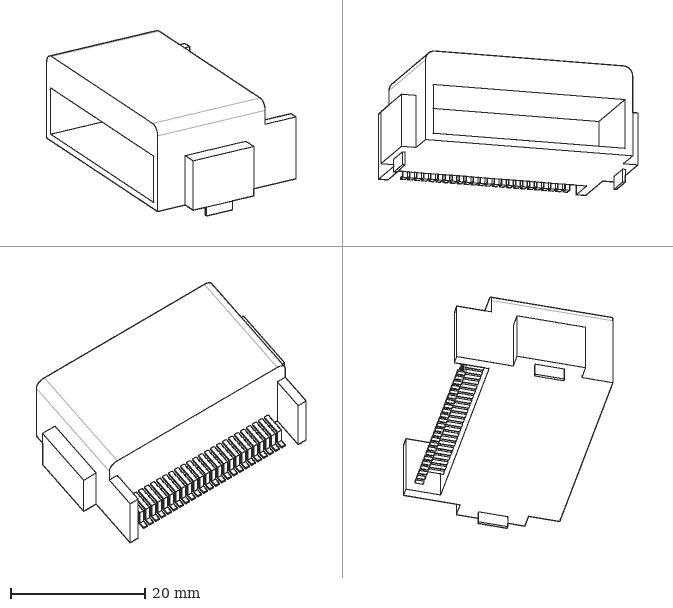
import cadquery as cq

housing_width = 32.32
housing_depth = 18.7
housing_height = 13.8
top_edge_radius = 1.48

side_wall = 1.2
floor_thickness = 1.07
opening_height = 7.53
opening_depth = 13.3

overall_width = 36.9
ear_front = 4.8
ear_depth = 10.55
ear_height = 8.05
tab_inset = 1.07
tab_thickness = 0.4
tab_front = 7.8
tab_depth = 4.5
tab_length = 2.0

guard_thickness = top_edge_radius
guard_length = 5.35
guard_height = 10.07

contact_count = 24
contact_row_span = 25.3
contact_width = 0.7
contact_thickness = 0.3
contact_setback = 0.95
contact_foot = 0.95
contact_shoulder = 2.95


def block(x_min, x_max, y_min, y_max, z_min, z_max):
    """Axis-aligned block between the given limits."""
    size = (x_max - x_min, y_max - y_min, z_max - z_min)
    return cq.Workplane("XY").box(*size, centered=False).translate((x_min, y_min, z_min))


def make_housing():
    half_width = housing_width / 2
    half_opening = half_width - side_wall
    body = block(-half_width, half_width, 0, housing_depth, 0, housing_height)
    body = body.edges("|Y and >Z").fillet(top_edge_radius)
    opening_top = floor_thickness + opening_height
    opening = block(-half_opening, half_opening, 0, opening_depth, floor_thickness, opening_top)
    return body.cut(opening)


def make_right_side():
    """Ear, board tab and guard wall on the +X side."""
    outer = overall_width / 2
    housing_side = housing_width / 2
    tab_outer = outer - tab_inset
    ear = block(housing_side, outer, ear_front, ear_front + ear_depth, 0, ear_height)
    tab = block(tab_outer - tab_thickness, tab_outer, tab_front, tab_front + tab_depth, -tab_length, 0)
    guard_end = housing_depth + guard_length
    guard = block(housing_side - guard_thickness, housing_side, housing_depth, guard_end, 0, guard_height)
    return ear, tab, guard


def make_contact(x_center):
    """Contact that leaves the rear face, drops to the seating plane and ends in a foot."""
    tip = housing_depth + guard_length - contact_setback
    bend = tip - contact_foot
    profile = [
        (housing_depth, contact_shoulder),
        (bend, contact_shoulder),
        (bend, contact_thickness),
        (tip, contact_thickness),
        (tip, 0),
        (bend - contact_thickness, 0),
        (bend - contact_thickness, contact_shoulder - contact_thickness),
        (housing_depth, contact_shoulder - contact_thickness),
    ]
    contact = cq.Workplane("YZ").polyline(profile).close().extrude(contact_width)
    return contact.translate((x_center - contact_width / 2, 0, 0))


result = make_housing()

for side_part in make_right_side():
    result = result.union(side_part).union(side_part.mirror("YZ"))

contact_pitch = contact_row_span / (contact_count - 1)
for index in range(contact_count):
    x_center = index * contact_pitch - contact_row_span / 2
    result = result.union(make_contact(x_center))